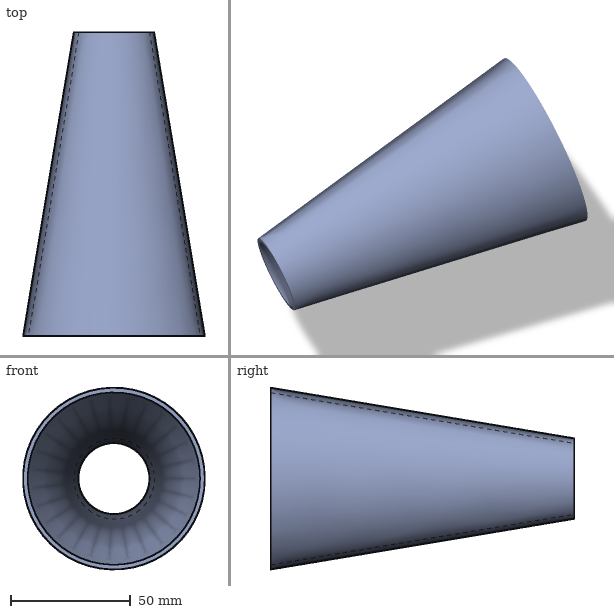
import cadquery as cq

length = 127.0
large_diameter = 76.1
small_diameter = 33.7
wall = 2.0

large_radius = large_diameter / 2
small_radius = small_diameter / 2

wall_section = (
    cq.Workplane("XY")
    .moveTo(large_radius - wall, 0)
    .lineTo(large_radius, 0)
    .lineTo(small_radius, length)
    .lineTo(small_radius - wall, length)
    .close()
)

result = wall_section.revolve(360, (0, 0, 0), (0, 1, 0))